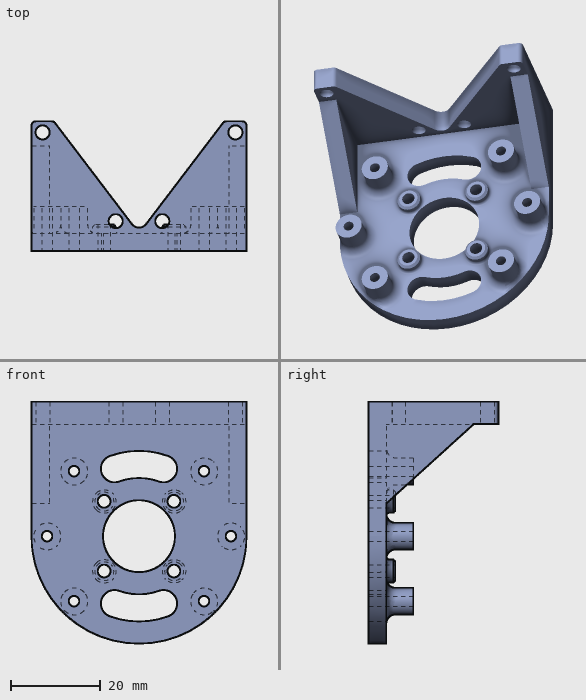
import cadquery as cq
import math


plate_width = 48.0
plate_thickness = 4.0
half_width = plate_width / 2
top_height = 30.0
bore_diameter = 16.0

slot_radius = 16.0
slot_width = 6.0
slot_half_angle = math.radians(20)

flange_depth = 29.0
flange_thickness = 5.0
tab_width = 5.0
tab_corner_radius = 1.0
notch_apex_y = 4.0
notch_bottom_radius = 2.0
flange_hole_diameter = 3.1
tab_hole_inset = 2.5
inner_hole_x = 5.2
inner_hole_y = 6.7

gusset_width = 4.0
gusset_reach = 23.5
gusset_foot_height = 7.3

rim_circle_radius = 20.5
rim_boss_diameter = 6.0
rim_boss_height = 6.0
rim_boss_fillet = 2.0
rim_hole_diameter = 2.3
rim_boss_angles = (135, 180, 225)

motor_circle_radius = 11.0
motor_boss_diameter = 5.2
motor_boss_height = 2.0
motor_boss_fillet = 0.6
motor_boss_chamfer = 0.5
motor_hole_diameter = 2.8
motor_boss_angles = (135, 225)

pick_margin = 0.01


def circle_points(radius, angles):
    """Points (x, z) on a circle about the bore axis."""
    return [
        (radius * math.cos(math.radians(angle)), radius * math.sin(math.radians(angle)))
        for angle in angles
    ]


def facing_back(start_y):
    """Workplane at the given depth with local axes X and Z; positive extrusion runs toward -Y."""
    return cq.Workplane("XZ", origin=(0, start_y, 0))


def make_half_plate():
    """-X half of the plate: straight top and a quarter-round bottom."""
    return (
        facing_back(0)
        .moveTo(-half_width, top_height)
        .lineTo(-half_width, 0)
        .radiusArc((0, -half_width), -half_width)
        .lineTo(0, top_height)
        .close()
        .extrude(-plate_thickness)
    )


def make_flange():
    """Top flange with a V notch that leaves two tabs."""
    notch_x = half_width - tab_width
    flange = (
        cq.Workplane("XY", origin=(0, 0, top_height - flange_thickness))
        .polyline([
            (-half_width, 0),
            (half_width, 0),
            (half_width, flange_depth),
            (notch_x, flange_depth),
            (0, notch_apex_y),
            (-notch_x, flange_depth),
            (-half_width, flange_depth),
        ])
        .close()
        .extrude(flange_thickness)
    )
    flange = flange.edges("|Z and >Y").fillet(tab_corner_radius)
    flange_mid_height = top_height - flange_thickness / 2
    notch_apex = cq.selectors.NearestToPointSelector((0, notch_apex_y, flange_mid_height))
    return flange.edges("|Z").edges(notch_apex).fillet(notch_bottom_radius)


def make_gusset():
    """-X side web below the flange, sloping down to the back of the plate."""
    flange_underside = top_height - flange_thickness
    return (
        cq.Workplane("YZ", origin=(-half_width, 0, 0))
        .polyline([
            (0, gusset_foot_height),
            (plate_thickness, gusset_foot_height),
            (gusset_reach, flange_underside),
            (gusset_reach, top_height),
            (0, top_height),
        ])
        .close()
        .extrude(gusset_width)
    )


def make_bosses(circle_radius, angles, diameter, height):
    """Round bosses on the back of the plate."""
    return (
        facing_back(plate_thickness)
        .pushPoints(circle_points(circle_radius, angles))
        .circle(diameter / 2)
        .extrude(-height)
    )


def fillet_boss_feet(body, circle_radius, angles, diameter, fillet_radius):
    """Round the foot of each boss into the plate."""
    for x, z in circle_points(circle_radius, angles):
        reach = diameter / 2 + pick_margin
        foot = cq.selectors.BoxSelector(
            (x - reach, plate_thickness - pick_margin, z - reach),
            (x + reach, plate_thickness + pick_margin, z + reach),
            boundingbox=True,
        )
        body = body.edges(foot).fillet(fillet_radius)
    return body


def cut_round_holes(body, points, diameter):
    """Holes along Y through the plate and any boss at the given points."""
    cutter = facing_back(0).pushPoints(points).circle(diameter / 2).extrude(-flange_depth)
    return body.cut(cutter)


def make_slot(side):
    """Curved slot cutter; side is +1 above the bore and -1 below it."""
    def on_circle(radius, angle):
        return (radius * math.sin(angle), side * radius * math.cos(angle))

    outer = slot_radius + slot_width / 2
    inner = slot_radius - slot_width / 2
    end_x, end_z = on_circle(slot_radius, slot_half_angle)
    cap_x = end_x + slot_width / 2 * math.cos(slot_half_angle)
    cap_z = end_z - side * slot_width / 2 * math.sin(slot_half_angle)
    return (
        facing_back(0)
        .moveTo(*on_circle(outer, -slot_half_angle))
        .threePointArc((0, side * outer), on_circle(outer, slot_half_angle))
        .threePointArc((cap_x, cap_z), on_circle(inner, slot_half_angle))
        .threePointArc((0, side * inner), on_circle(inner, -slot_half_angle))
        .threePointArc((-cap_x, cap_z), on_circle(outer, -slot_half_angle))
        .close()
        .extrude(-plate_thickness)
    )


def make_flange_holes():
    """Vertical hole cutters: one in each tab and two beside the notch."""
    tab_hole_x = half_width - tab_hole_inset
    tab_hole_y = flange_depth - tab_hole_inset
    points = [
        (side * x, y)
        for side in (-1, 1)
        for x, y in ((tab_hole_x, tab_hole_y), (inner_hole_x, inner_hole_y))
    ]
    return (
        cq.Workplane("XY", origin=(0, 0, top_height - flange_thickness))
        .pushPoints(points)
        .circle(flange_hole_diameter / 2)
        .extrude(flange_thickness)
    )


def make_half_wall():
    """-X half of the plate with its bosses, gusset and screw holes."""
    rim_bosses = make_bosses(rim_circle_radius, rim_boss_angles, rim_boss_diameter, rim_boss_height)
    motor_bosses = make_bosses(
        motor_circle_radius, motor_boss_angles, motor_boss_diameter, motor_boss_height
    )
    motor_bosses = motor_bosses.faces(">Y").edges().chamfer(motor_boss_chamfer)

    wall = make_half_plate().union(rim_bosses).union(motor_bosses)
    wall = fillet_boss_feet(
        wall, rim_circle_radius, rim_boss_angles, rim_boss_diameter, rim_boss_fillet
    )
    wall = fillet_boss_feet(
        wall, motor_circle_radius, motor_boss_angles, motor_boss_diameter, motor_boss_fillet
    )
    wall = wall.union(make_gusset())
    wall = cut_round_holes(wall, circle_points(rim_circle_radius, rim_boss_angles), rim_hole_diameter)
    return cut_round_holes(
        wall, circle_points(motor_circle_radius, motor_boss_angles), motor_hole_diameter
    )


half_wall = make_half_wall()
body = half_wall.union(half_wall.mirror("YZ")).union(make_flange())
body = cut_round_holes(body, [(0, 0)], bore_diameter)
for slot_side in (1, -1):
    body = body.cut(make_slot(slot_side))

result = body.cut(make_flange_holes())